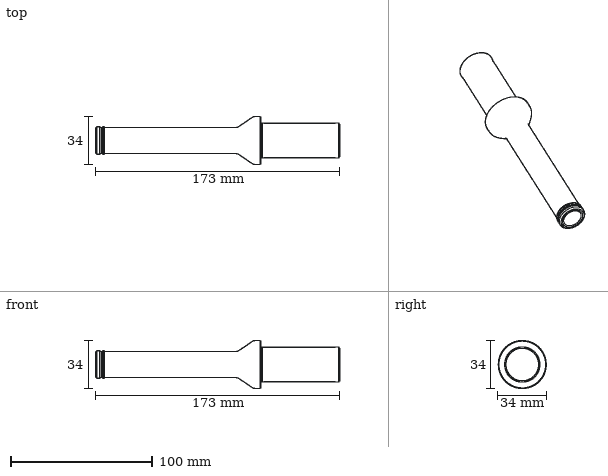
import cadquery as cq

TOTAL_LENGTH = 173.0
HEAD_LENGTH = 3.8
COLLAR_START = 4.5
COLLAR_END = 6.4
CONE_START = 100.3
CONE_END = 111.8
FLANGE_END = 117.0

SHANK_RADIUS = 18.5 / 2
HEAD_RADIUS = 19.7 / 2
FLANGE_RADIUS = 34.0 / 2
SPIGOT_RADIUS = 24.5 / 2
BAND_RADIUS = 25.0 / 2

HEAD_CHAMFER = 1.0
HEAD_BACK_BEVEL = 0.7
HEAD_BACK_LAND = 0.5
HEAD_BACK_DROP = 0.2
CONE_ROOT_FILLET = 4.7
CONE_RIM_FILLET = 3.5
FLANGE_BEVEL = 0.5
END_CHAMFER = 1.0

SHOULDER_RELIEF = 0.9
BAND_RISE = 0.5
BAND_FALL = 1.0
FAR_BAND_START = 169.2
FAR_BAND_RAMP = 1.0

FLOOR_RADIUS = 1.0
DISH_RADIUS = 2.2
DISH_RISE = 0.09
DISH_WALL_RADIUS = 3.6
DISH_WALL_DEPTH = 0.26
RIDGE_INNER_RADIUS = 4.5
RIDGE_OUTER_RADIUS = 5.4
CHANNEL_INNER_RADIUS = 6.0
CHANNEL_OUTER_RADIUS = 6.7
RIM_INNER_RADIUS = 7.8
RECESS_DEPTH = 0.7
RIDGE_DEPTH = 0.2
CHANNEL_DEPTH = 0.3


def revolve_about_x(outline):
    """Full turn about the X axis of a closed outline in the XY plane."""
    return outline.close().revolve(360, (0, 0, 0), (1, 0, 0))


def round_circle(body, station, radius, fillet_radius):
    """Fillet the circular edge of the given radius at an axial station."""
    margin = 0.02
    reach = radius + margin
    edge_box = cq.selectors.BoxSelector(
        (station - margin, -reach, -reach), (station + margin, reach, reach), boundingbox=True
    )
    return body.edges(edge_box).fillet(fillet_radius)


def make_head():
    """Tip disc with a chamfered rim and a concentric recess with one raised ridge."""
    back_bevel_start = HEAD_LENGTH - HEAD_BACK_BEVEL
    outline = (
        cq.Workplane("XY")
        .moveTo(RECESS_DEPTH, 0)
        .lineTo(RECESS_DEPTH, FLOOR_RADIUS)
        .lineTo(RECESS_DEPTH - DISH_RISE, DISH_RADIUS)
        .lineTo(DISH_WALL_DEPTH, DISH_WALL_RADIUS)
        .lineTo(RIDGE_DEPTH, RIDGE_INNER_RADIUS)
        .lineTo(RIDGE_DEPTH, RIDGE_OUTER_RADIUS)
        .lineTo(CHANNEL_DEPTH, CHANNEL_INNER_RADIUS)
        .lineTo(CHANNEL_DEPTH, CHANNEL_OUTER_RADIUS)
        .lineTo(0, RIM_INNER_RADIUS)
        .lineTo(0, HEAD_RADIUS - HEAD_CHAMFER)
        .lineTo(HEAD_CHAMFER, HEAD_RADIUS)
        .lineTo(back_bevel_start - HEAD_BACK_LAND, HEAD_RADIUS)
        .lineTo(back_bevel_start, HEAD_RADIUS - HEAD_BACK_DROP)
        .lineTo(HEAD_LENGTH, SHANK_RADIUS)
        .lineTo(HEAD_LENGTH, 0)
    )
    return revolve_about_x(outline)


def make_holder():
    """Collared shank, conical flange and banded spigot in one turned piece."""
    collar_third = (COLLAR_END - COLLAR_START) / 3
    near_band_start = FLANGE_END + SHOULDER_RELIEF
    near_band_peak = near_band_start + BAND_RISE
    outline = (
        cq.Workplane("XY")
        .moveTo(HEAD_LENGTH, 0)
        .lineTo(HEAD_LENGTH, SHANK_RADIUS)
        .lineTo(COLLAR_START, SHANK_RADIUS)
        .lineTo(COLLAR_START + collar_third, HEAD_RADIUS)
        .lineTo(COLLAR_END - collar_third, HEAD_RADIUS)
        .lineTo(COLLAR_END, SHANK_RADIUS)
        .lineTo(CONE_START, SHANK_RADIUS)
        .lineTo(CONE_END, FLANGE_RADIUS)
        .lineTo(FLANGE_END - FLANGE_BEVEL, FLANGE_RADIUS)
        .lineTo(FLANGE_END, FLANGE_RADIUS - FLANGE_BEVEL)
        .lineTo(FLANGE_END, SPIGOT_RADIUS)
        .lineTo(near_band_start, SPIGOT_RADIUS)
        .lineTo(near_band_peak, BAND_RADIUS)
        .lineTo(near_band_peak + BAND_FALL, SPIGOT_RADIUS)
        .lineTo(FAR_BAND_START, SPIGOT_RADIUS)
        .lineTo(FAR_BAND_START + FAR_BAND_RAMP, BAND_RADIUS)
        .lineTo(TOTAL_LENGTH - END_CHAMFER, BAND_RADIUS)
        .lineTo(TOTAL_LENGTH, BAND_RADIUS - END_CHAMFER)
        .lineTo(TOTAL_LENGTH, 0)
    )
    holder = revolve_about_x(outline)
    holder = round_circle(holder, CONE_START, SHANK_RADIUS, CONE_ROOT_FILLET)
    return round_circle(holder, CONE_END, FLANGE_RADIUS, CONE_RIM_FILLET)


head = make_head()
holder = make_holder()

result = cq.Compound.makeCompound([head.val(), holder.val()])